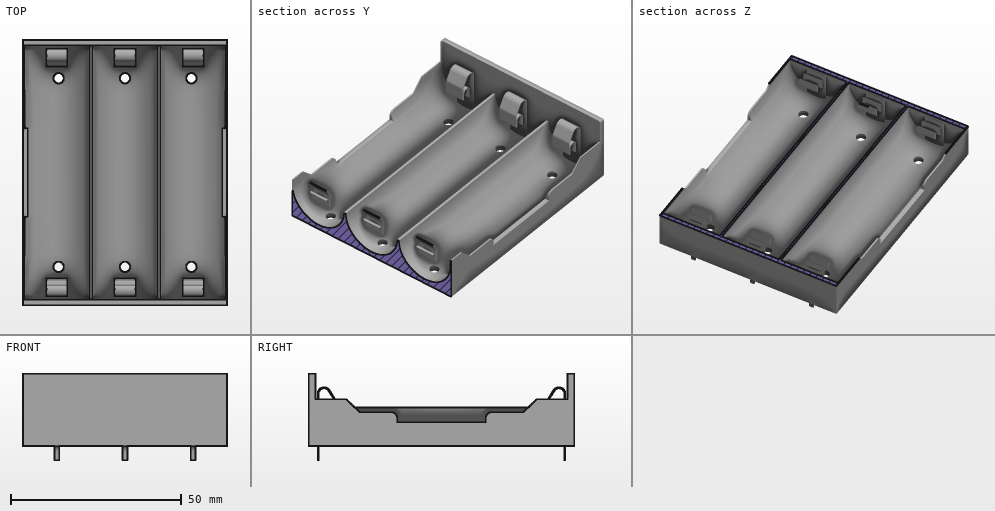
import cadquery as cq
import math

length = 78.0
width = 60.0
end_wall_height = 21.3
end_wall_thickness = 1.6
cell_count = 3
cell_pitch = 20.0
cell_radius = 9.6
cell_axis_z = 11.4
clearance = 1.0

post_depth = 2.0
shoulder_z = 13.8
shoulder_depth = 11.0
rail_z = 10.0
rail_depth = 15.0
notch_z = 7.0
notch_width = 26.0
notch_corner_radius = 1.8

hole_diameter = 3.0
hole_pitch_x = 19.5
hole_spacing_y = 55.4

strip_thickness = 0.3
strip_width = 6.2
leg_depth = 2.75
front_depth = 7.75
arch_radius = 1.75
arch_top_z = 17.3
slope_angle = math.radians(58)
front_bend_radius = 1.2
front_bottom_z = 9.0
fold_radius = 0.2
hook_radius = 1.3
hook_axis_z = 11.2
hook_end_z = 8.3
pin_width = 1.5
pin_tip_z = -4.2
pin_corner_radius = 0.3

half_length = length / 2
cavity_length = length - 2 * end_wall_thickness
floor_thickness = cell_axis_z - cell_radius
middle_index = (cell_count - 1) / 2


def make_blank():
    """Solid block with the stepped top edge, before the cells are hollowed out."""
    post_y = half_length - post_depth
    shoulder_y = half_length - shoulder_depth
    rail_y = half_length - rail_depth
    notch_y = notch_width / 2
    corner = notch_corner_radius
    return (
        cq.Workplane("YZ", origin=(-width / 2, 0, 0))
        .moveTo(-half_length, 0)
        .lineTo(-half_length, end_wall_height)
        .lineTo(-post_y, end_wall_height)
        .lineTo(-post_y, shoulder_z)
        .lineTo(-shoulder_y, shoulder_z)
        .lineTo(-rail_y, rail_z)
        .lineTo(-notch_y - corner, rail_z)
        .radiusArc((-notch_y, rail_z - corner), corner)
        .lineTo(-notch_y, notch_z)
        .lineTo(notch_y, notch_z)
        .lineTo(notch_y, rail_z - corner)
        .radiusArc((notch_y + corner, rail_z), corner)
        .lineTo(rail_y, rail_z)
        .lineTo(shoulder_y, shoulder_z)
        .lineTo(post_y, shoulder_z)
        .lineTo(post_y, end_wall_height)
        .lineTo(half_length, end_wall_height)
        .lineTo(half_length, 0)
        .close()
        .extrude(width)
    )


def make_ridge(x):
    """Block between two cells, up to the height of the cell axes."""
    return (
        cq.Workplane("XY", origin=(x, 0, 0))
        .box(cell_pitch, cavity_length, cell_axis_z, centered=(True, True, False))
    )


def make_cavity():
    """Room for the cells: a half-round trough under each one, open above."""
    half_width = middle_index * cell_pitch + cell_radius
    top_z = end_wall_height + clearance
    profile = cq.Workplane("XZ", origin=(0, cavity_length / 2, 0)).moveTo(-half_width, top_z)
    for i in range(cell_count):
        x = (i - middle_index) * cell_pitch
        profile = (
            profile
            .lineTo(x - cell_radius, cell_axis_z)
            .threePointArc((x, floor_thickness), (x + cell_radius, cell_axis_z))
        )
    return profile.lineTo(half_width, top_z).close().extrude(cavity_length)


def make_housing():
    body = make_blank()

    for i in range(cell_count - 1):
        body = body.union(make_ridge((i + 0.5 - middle_index) * cell_pitch))
    body = body.cut(make_cavity())

    holes = (
        cq.Workplane("XY")
        .rarray(hole_pitch_x, hole_spacing_y, cell_count, 2)
        .circle(hole_diameter / 2)
        .extrude(cell_axis_z)
    )
    return body.cut(holes)


def make_contact():
    """Contact at the -Y end, centred on X = 0."""
    leg_y = leg_depth - half_length
    front_y = front_depth - half_length
    arch_y = leg_y + arch_radius
    arch_z = arch_top_z - strip_thickness / 2 - arch_radius

    normal_y = math.sin(slope_angle)
    normal_z = math.cos(slope_angle)
    slope_start = (arch_y + arch_radius * normal_y, arch_z + arch_radius * normal_z)
    bend_y = front_y - front_bend_radius
    slope_end_y = bend_y + front_bend_radius * normal_y
    slope_end_z = slope_start[1] - (slope_end_y - slope_start[0]) * math.tan(slope_angle)
    bend_z = slope_end_z - front_bend_radius * normal_z
    fold_z = front_bottom_z + strip_thickness / 2 + fold_radius
    return_y = front_y - 2 * fold_radius
    hook_end_y = return_y - 2 * hook_radius

    path = (
        cq.Workplane("YZ")
        .moveTo(leg_y, floor_thickness)
        .lineTo(leg_y, arch_z)
        .tangentArcPoint(slope_start, relative=False)
        .lineTo(slope_end_y, slope_end_z)
        .tangentArcPoint((front_y, bend_z), relative=False)
        .lineTo(front_y, fold_z)
        .tangentArcPoint((return_y, fold_z), relative=False)
        .lineTo(return_y, hook_axis_z)
        .tangentArcPoint((hook_end_y, hook_axis_z), relative=False)
        .lineTo(hook_end_y, hook_end_z)
    )
    strip = (
        cq.Workplane("XY", origin=(0, leg_y, floor_thickness))
        .rect(strip_width, strip_thickness)
        .sweep(path)
    )

    pin = (
        cq.Workplane("XY", origin=(0, leg_y, pin_tip_z))
        .box(pin_width, strip_thickness, floor_thickness - pin_tip_z, centered=(True, True, False))
        .faces("<Z")
        .edges("|Y")
        .fillet(pin_corner_radius)
    )
    return strip.union(pin)


def make_contacts():
    """One contact at each end of every cell, each facing the middle of its cell."""
    contact = make_contact()
    placed = []
    for i in range(cell_count):
        for turn in (0, 180):
            turned = contact.rotate((0, 0, 0), (0, 0, 1), turn)
            placed.append(turned.translate(((i - middle_index) * cell_pitch, 0, 0)))
    return placed


contacts = make_contacts()
housing = make_housing()
for contact in contacts:
    housing = housing.cut(contact)

result = cq.Compound.makeCompound([housing.val(), *[contact.val() for contact in contacts]])